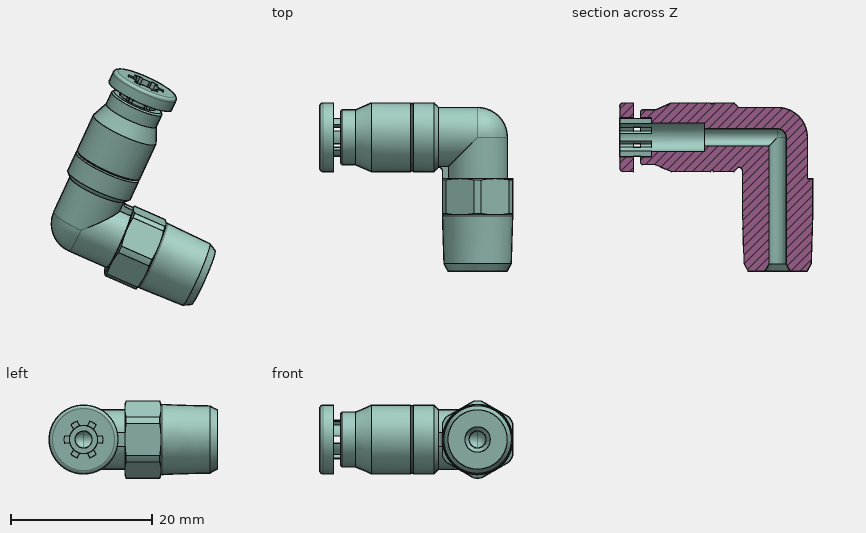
import cadquery as cq
import math


ELBOW_RADIUS = 8.5 / 2
BORE_RADIUS = 2.4 / 2

TUBE_END = 22.4
RELEASE_RING_BACK = 20.4
BODY_FRONT = 19.45
BODY_CONE_START = 17.3
BODY_CONE_END = 15.05
GROOVE_CENTER = 9.3
BODY_RADIUS = 9.8 / 2
BODY_MOUTH_RADIUS = 7.84 / 2
BODY_REAR_CHAMFER = BODY_RADIUS - ELBOW_RADIUS
BODY_BACK = 5.55
MOUTH_CHAMFER = 0.25
GROOVE_DEPTH = 0.2
RING_FILLET = 0.5

SOCKET_RADIUS = 4.0 / 2
SOCKET_DEPTH = 12.0
SLEEVE_RADIUS = 5.5 / 2
SLOT_COUNT = 6
SLOT_WIDTH = 1.0
SLOT_DEPTH = 4.5

HEX_START = 5.85
HEX_END = 11.0
THREAD_START = 11.2
THREAD_CHAMFER_START = 17.9
THREAD_END = 19.0
HEX_SIDES = 6
HEX_ACROSS_FLATS = 10.0
HEX_CORNER_RADIUS = 11.0 / 2
HEX_FACE_RADIUS = 9.9 / 2
HEX_CHAMFER_LENGTH = 0.2
THREAD_RADIUS = 10.0 / 2
THREAD_TAPER = 1 / 16
THREAD_TIP_RADIUS = 8.4 / 2
COUNTERSINK_RADIUS = 3.6 / 2
COUNTERSINK_DEPTH = 1.0

WEB_THICKNESS = 2.0
WEB_REACH = HEX_ACROSS_FLATS / 2
WEB_FILLET = BODY_BACK - WEB_REACH


def revolve_tube_leg(stations):
    """Revolve (distance, radius) stations about the X axis, distances along -X."""
    first, last = stations[0][0], stations[-1][0]
    points = [(-first, 0)] + [(-d, r) for d, r in stations] + [(-last, 0)]
    return cq.Workplane("XY").polyline(points).close().revolve(360, (0, 0), (1, 0))


def revolve_thread_leg(stations):
    """Revolve (distance, radius) stations about the Y axis, distances along -Y."""
    first, last = stations[0][0], stations[-1][0]
    points = [(0, -first)] + [(r, -d) for d, r in stations] + [(0, -last)]
    return cq.Workplane("XY").polyline(points).close().revolve(360, (0, 0), (0, 1))


def elbow_core(radius, tube_leg_length, thread_leg_length):
    """Two perpendicular cylinders joined by a quarter ball on the outer corner."""
    tube_leg = revolve_tube_leg([(0, radius), (tube_leg_length, radius)])
    thread_leg = revolve_thread_leg([(0, radius), (thread_leg_length, radius)])
    quarter_ball = (
        cq.Workplane("XZ")
        .moveTo(0, -radius)
        .threePointArc((radius, 0), (0, radius))
        .close()
        .revolve(90, (0, 0), (0, 1))
    )
    return tube_leg.union(thread_leg).union(quarter_ball)


def tube_body():
    return revolve_tube_leg([
        (BODY_BACK, ELBOW_RADIUS),
        (BODY_BACK + BODY_REAR_CHAMFER, BODY_RADIUS),
        (GROOVE_CENTER - GROOVE_DEPTH, BODY_RADIUS),
        (GROOVE_CENTER, BODY_RADIUS - GROOVE_DEPTH),
        (GROOVE_CENTER + GROOVE_DEPTH, BODY_RADIUS),
        (BODY_CONE_END, BODY_RADIUS),
        (BODY_CONE_START, BODY_MOUTH_RADIUS),
        (BODY_FRONT - MOUTH_CHAMFER, BODY_MOUTH_RADIUS),
        (BODY_FRONT, BODY_MOUTH_RADIUS - MOUTH_CHAMFER),
    ])


def release_ring():
    ring = revolve_tube_leg([(RELEASE_RING_BACK, BODY_RADIUS), (TUBE_END, BODY_RADIUS)])
    ring = ring.faces("<X").edges().fillet(RING_FILLET)
    sleeve = revolve_tube_leg([(BODY_FRONT, SLEEVE_RADIUS), (RELEASE_RING_BACK, SLEEVE_RADIUS)])
    return ring.union(sleeve)


def collet_slots():
    """Radial slots around the socket, open at the end face, ending on the sleeve radius."""
    bar = (
        cq.Workplane("XY")
        .box(SLOT_DEPTH, 2 * BODY_RADIUS, SLOT_WIDTH)
        .translate((SLOT_DEPTH / 2 - TUBE_END, 0, 0))
    )
    bars = bar
    for index in range(1, SLOT_COUNT // 2):
        bars = bars.union(bar.rotate((0, 0, 0), (1, 0, 0), index * 360 / SLOT_COUNT))
    envelope = revolve_tube_leg([(TUBE_END - SLOT_DEPTH, SLEEVE_RADIUS), (TUBE_END, SLEEVE_RADIUS)])
    return bars.intersect(envelope)


def hex_collar():
    """Hexagon with flats facing +X and -X, its corners turned round and chamfered."""
    half_side_angle = 180 / HEX_SIDES
    across_corners = HEX_ACROSS_FLATS / math.cos(math.radians(half_side_angle))
    prism = (
        cq.Workplane("XZ", origin=(0, -HEX_START, 0))
        .transformed(rotate=(0, 0, half_side_angle))
        .polygon(HEX_SIDES, across_corners)
        .extrude(HEX_END - HEX_START)
    )
    turned = revolve_thread_leg([
        (HEX_START, HEX_FACE_RADIUS),
        (HEX_START + HEX_CHAMFER_LENGTH, HEX_CORNER_RADIUS),
        (HEX_END - HEX_CHAMFER_LENGTH, HEX_CORNER_RADIUS),
        (HEX_END, HEX_FACE_RADIUS),
    ])
    return prism.intersect(turned)


def tapered_thread():
    taper_length = THREAD_CHAMFER_START - THREAD_START
    small_radius = THREAD_RADIUS - taper_length * THREAD_TAPER / 2
    return revolve_thread_leg([
        (HEX_END, HEX_FACE_RADIUS),
        (THREAD_START, THREAD_RADIUS),
        (THREAD_CHAMFER_START, small_radius),
        (THREAD_END, THREAD_TIP_RADIUS),
    ])


def corner_web():
    """Flat web between body and hexagon, with a concave rounded corner at the body."""
    return (
        cq.Workplane("XY", origin=(0, 0, -WEB_THICKNESS / 2))
        .moveTo(-ELBOW_RADIUS / 2, -HEX_START)
        .lineTo(-WEB_REACH, -HEX_START)
        .lineTo(-WEB_REACH, -ELBOW_RADIUS - WEB_FILLET)
        .radiusArc((-BODY_BACK, -ELBOW_RADIUS), -WEB_FILLET)
        .lineTo(-BODY_BACK, -ELBOW_RADIUS / 2)
        .lineTo(-ELBOW_RADIUS / 2, -ELBOW_RADIUS / 2)
        .close()
        .extrude(WEB_THICKNESS)
    )


def tube_socket():
    return revolve_tube_leg([(TUBE_END - SOCKET_DEPTH, SOCKET_RADIUS), (TUBE_END, SOCKET_RADIUS)])


def thread_countersink():
    return revolve_thread_leg([
        (THREAD_END - COUNTERSINK_DEPTH, BORE_RADIUS),
        (THREAD_END, COUNTERSINK_RADIUS),
    ])


outside = elbow_core(ELBOW_RADIUS, BODY_BACK, HEX_START)
for feature in (tube_body(), release_ring(), hex_collar(), tapered_thread(), corner_web()):
    outside = outside.union(feature)

bore = elbow_core(BORE_RADIUS, TUBE_END, THREAD_END)
result = outside.cut(bore)
for recess in (tube_socket(), collet_slots(), thread_countersink()):
    result = result.cut(recess)